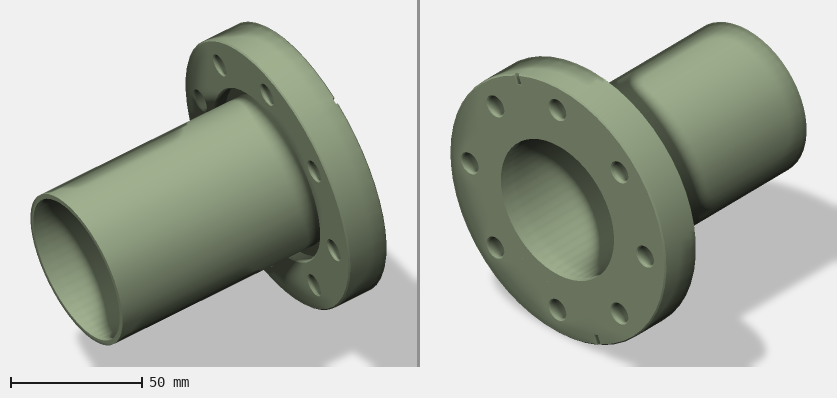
import cadquery as cq
import math

flange_diameter = 113.5
flange_thickness = 17.5
flange_chamfer = 0.6
overall_length = 104.8

tube_diameter = 63.6
tube_bore = 59.5

hub_diameter = 72.2
hub_recess = 5.0
bore_chamfer = 0.6

bolt_count = 8
bolt_circle = 92.2
bolt_hole_diameter = 8.4
bolt_hole_chamfer = 0.5

groove_width = 2.5
groove_depth = 1.0
groove_length = 4.5
groove_angle = 360 / bolt_count / 2

back_y = overall_length / 2
tube_end_y = -overall_length / 2
flange_front_y = back_y - flange_thickness
hub_front_y = flange_front_y + hub_recess


def cylinder(diameter, start_y, end_y):
    """Solid cylinder about the Y axis."""
    return (
        cq.Workplane("XZ", origin=(0, start_y, 0))
        .circle(diameter / 2)
        .extrude(start_y - end_y)
    )


def ring(outer_diameter, inner_diameter, start_y, end_y):
    """Plain ring about the Y axis."""
    return cylinder(outer_diameter, start_y, end_y).cut(cylinder(inner_diameter, start_y, end_y))


def bolt_holes():
    """Through holes on the bolt circle, chamfered at both ends."""
    radius = bolt_hole_diameter / 2
    wide_radius = radius + bolt_hole_chamfer
    hole = (
        cq.Workplane("XY")
        .moveTo(0, flange_front_y)
        .lineTo(wide_radius, flange_front_y)
        .lineTo(radius, flange_front_y + bolt_hole_chamfer)
        .lineTo(radius, back_y - bolt_hole_chamfer)
        .lineTo(wide_radius, back_y)
        .lineTo(0, back_y)
        .close()
        .revolve(360, (0, 0, 0), (0, 1, 0))
        .val()
    )
    holes = []
    for index in range(bolt_count):
        angle = math.radians(index * 360 / bolt_count)
        offset = cq.Vector(math.cos(angle), 0, math.sin(angle)) * (bolt_circle / 2)
        holes.append(hole.translate(offset))
    return cq.Workplane("XY").newObject(holes).combine()


def rim_grooves():
    """Two opposite shallow radial slots in the back face, open at the rim."""
    slot = (
        cq.Workplane("XY")
        .box(groove_width, groove_depth, groove_length)
        .translate((0, back_y - groove_depth / 2, (flange_diameter - groove_length) / 2))
    )
    slots = []
    for angle in (groove_angle, groove_angle + 180):
        slots.append(slot.rotate((0, 0, 0), (0, 1, 0), angle).val())
    return cq.Workplane("XY").newObject(slots).combine()


def make_flange():
    """Bolt flange with a plain bore that holds the hub."""
    outer_radius = flange_diameter / 2
    bore_radius = hub_diameter / 2
    body = (
        cq.Workplane("XY")
        .moveTo(bore_radius + bore_chamfer, flange_front_y)
        .lineTo(outer_radius - flange_chamfer, flange_front_y)
        .lineTo(outer_radius, flange_front_y + flange_chamfer)
        .lineTo(outer_radius, back_y - flange_chamfer)
        .lineTo(outer_radius - flange_chamfer, back_y)
        .lineTo(bore_radius, back_y)
        .lineTo(bore_radius, flange_front_y + bore_chamfer)
        .close()
        .revolve(360, (0, 0, 0), (0, 1, 0))
    )
    return body.cut(bolt_holes()).cut(rim_grooves())


def make_hub():
    """Ring between tube and flange, set back from the flange front face."""
    return ring(hub_diameter, tube_diameter, hub_front_y, back_y)


def make_tube():
    """Thin tube running the whole length."""
    return ring(tube_diameter, tube_bore, tube_end_y, back_y)


flange = make_flange()
hub = make_hub()
tube = make_tube()

result = cq.Compound.makeCompound([flange.val(), hub.val(), tube.val()])